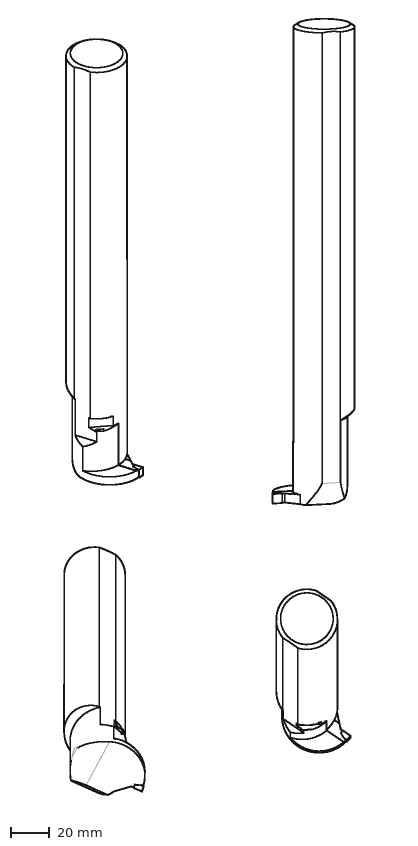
import cadquery as cq
import math

LENGTH = 250.0
SHANK_RADIUS = 15.8
FLAT_DISTANCE = 15.0
TOP_CHAMFER_WIDTH = 2.2
TOP_CHAMFER_HEIGHT = 1.5

HEAD_RADIUS = 19.2
HEAD_X = 7.5
HEAD_Y = 0.2
HEAD_TOP = 45.0
SHOULDER_HEIGHT = 25.0
HEAD_LEFT = HEAD_X - HEAD_RADIUS
HEAD_BOTTOM = 0.2

BULGE_START = (2.0, -18.2)
BULGE_MIDDLE = (11.2, -12.5)
BULGE_END = (15.5, -4.5)
BULGE_TOP = 30.5
RAMP_TOP = 23.2
RAMP_RUN = 5.0

RECESS_DISTANCE = 14.2
RECESS_ANGLE = -52.6
RECESS_TOP = 36.2
RECESS_BOTTOM = 30.5
RECESS_LIP_DROP = 1.2
RECESS_DEPTH = 2.5
RECESS_WIDTH = 25.0

FLANGE_TOP = 5.2
RAKE_Y = 0.2
CLEARANCE_X = 21.0
CLEARANCE_SLOPE = 0.95
GROOVE_FRONT = -4.5
GROOVE_BACK = 2.2
GROOVE_DEPTH = 0.2

HEEL_TOP = 15.5
HEEL_RADIUS = 11.2
HEEL_INSET = 0.2
RELIEF_TOP = 12.5
RELIEF_MIDDLE = (12.5, 4.5)
RELIEF_BOTTOM_Y = 9.8

INSERT_LEFT = 22.2
INSERT_TIP = 27.2
INSERT_TOP = FLANGE_TOP - GROOVE_DEPTH
INSERT_OUTLINE = [
    (INSERT_LEFT, RAKE_Y),
    (INSERT_TIP, RAKE_Y),
    (26.8, -2.8),
    (25.2, -2.8),
    (INSERT_LEFT, -1.5),
]

REACH = 75.0


def box(x_range, y_range, z_range):
    """Axis-aligned box between the given limits."""
    corner = (x_range[0], y_range[0], z_range[0])
    size = [limits[1] - limits[0] for limits in (x_range, y_range, z_range)]
    return cq.Workplane("XY").box(*size, centered=False).translate(corner)


def make_shank():
    """Full-length round bar with a chamfered top and two flats."""
    rim = SHANK_RADIUS - TOP_CHAMFER_WIDTH
    bar = (
        cq.Workplane("XZ")
        .moveTo(0, HEAD_BOTTOM)
        .lineTo(SHANK_RADIUS, HEAD_BOTTOM)
        .lineTo(SHANK_RADIUS, LENGTH - TOP_CHAMFER_HEIGHT)
        .lineTo(rim, LENGTH)
        .lineTo(0, LENGTH)
        .close()
        .revolve(360, (0, 0), (0, 1))
    )
    return bar.intersect(box((-REACH, REACH), (-FLAT_DISTANCE, FLAT_DISTANCE), (0, LENGTH)))


def make_head_envelope():
    """Offset head cylinder, opening through a conical shoulder to clear the shank."""
    outer = HEAD_RADIUS + SHOULDER_HEIGHT
    return (
        cq.Workplane("XZ")
        .moveTo(0, HEAD_BOTTOM)
        .lineTo(HEAD_RADIUS, HEAD_BOTTOM)
        .lineTo(HEAD_RADIUS, HEAD_TOP)
        .lineTo(outer, HEAD_TOP + SHOULDER_HEIGHT)
        .lineTo(outer, LENGTH)
        .lineTo(0, LENGTH)
        .close()
        .revolve(360, (0, 0), (0, 1))
        .translate((HEAD_X, HEAD_Y, 0))
    )


def make_bulge():
    """Neck thickening on the -Y side, with the flat and its end ramp cut into it."""
    bulge = (
        cq.Workplane("XY", origin=(0, 0, HEAD_BOTTOM))
        .moveTo(*BULGE_START)
        .threePointArc(BULGE_MIDDLE, BULGE_END)
        .lineTo(0, 0)
        .lineTo(HEAD_LEFT, 0)
        .lineTo(HEAD_LEFT, BULGE_START[1])
        .close()
        .extrude(BULGE_TOP - HEAD_BOTTOM)
    )
    above_ramp = (
        cq.Workplane("YZ")
        .polyline([
            (-FLAT_DISTANCE, RAMP_TOP),
            (-FLAT_DISTANCE, LENGTH),
            (-FLAT_DISTANCE - RAMP_RUN, LENGTH),
            (-FLAT_DISTANCE - RAMP_RUN, RAMP_TOP - RAMP_RUN),
        ])
        .close()
        .extrude(REACH, both=True)
    )
    return bulge.cut(above_ramp)


def make_recess():
    """Cutter for the flat-floored recess and the sloping lip below it."""
    return (
        cq.Workplane("XZ")
        .polyline([
            (RECESS_DISTANCE, RECESS_TOP),
            (RECESS_DISTANCE, RECESS_BOTTOM),
            (RECESS_DISTANCE + RECESS_DEPTH, RECESS_BOTTOM - RECESS_LIP_DROP),
            (RECESS_DISTANCE + RECESS_DEPTH, RECESS_TOP),
        ])
        .close()
        .extrude(RECESS_WIDTH / 2, both=True)
        .rotate((0, 0, 0), (0, 0, 1), RECESS_ANGLE)
    )


def make_flange():
    """Thin plate under the neck, with a clearance face and a shallow chip groove."""
    clearance_left_y = RAKE_Y + CLEARANCE_SLOPE * (CLEARANCE_X - HEAD_LEFT)
    plate = (
        cq.Workplane("XY", origin=(0, 0, HEAD_BOTTOM))
        .polyline([
            (HEAD_LEFT, -REACH),
            (REACH, -REACH),
            (REACH, RAKE_Y),
            (CLEARANCE_X, RAKE_Y),
            (HEAD_LEFT, clearance_left_y),
        ])
        .close()
        .extrude(FLANGE_TOP - HEAD_BOTTOM)
    )
    groove = box((0, REACH), (GROOVE_FRONT, GROOVE_BACK), (FLANGE_TOP - GROOVE_DEPTH, FLANGE_TOP))
    within_shank_y = box((-REACH, REACH), (-REACH, FLAT_DISTANCE), (0, LENGTH))
    return plate.cut(groove).intersect(within_shank_y)


def make_heel_cut():
    """Cutter that rounds the bottom of the head on its -X side."""
    arc_left = HEAD_LEFT + HEEL_INSET
    arc_top = HEAD_BOTTOM + HEEL_RADIUS
    diagonal = HEEL_RADIUS * (1 - math.sqrt(0.5))
    return (
        cq.Workplane("XZ")
        .moveTo(HEAD_LEFT, HEEL_TOP)
        .lineTo(arc_left, arc_top)
        .threePointArc(
            (arc_left + diagonal, HEAD_BOTTOM + diagonal),
            (arc_left + HEEL_RADIUS, HEAD_BOTTOM),
        )
        .lineTo(-REACH, HEAD_BOTTOM)
        .lineTo(-REACH, HEEL_TOP)
        .close()
        .extrude(REACH, both=True)
    )


def make_side_relief():
    """Cutter for the curved relief at the bottom of the head's +Y side."""
    return (
        cq.Workplane("YZ")
        .moveTo(FLAT_DISTANCE, RELIEF_TOP)
        .threePointArc(RELIEF_MIDDLE, (RELIEF_BOTTOM_Y, HEAD_BOTTOM))
        .lineTo(REACH, HEAD_BOTTOM)
        .lineTo(REACH, RELIEF_TOP)
        .close()
        .extrude(REACH, both=True)
    )


def make_insert():
    """Small cutting insert, flush with the groove floor and proud of the flange below."""
    return cq.Workplane("XY").polyline(INSERT_OUTLINE).close().extrude(INSERT_TOP)


def make_holder(insert):
    """Shank and head in one piece, with a seat for the insert."""
    holder = make_shank().union(make_bulge()).cut(make_recess())
    holder = holder.union(make_flange()).intersect(make_head_envelope())
    return holder.cut(make_heel_cut()).cut(make_side_relief()).cut(insert)


insert = make_insert()
holder = make_holder(insert)

result = cq.Compound.makeCompound([holder.solids().val(), insert.val()])